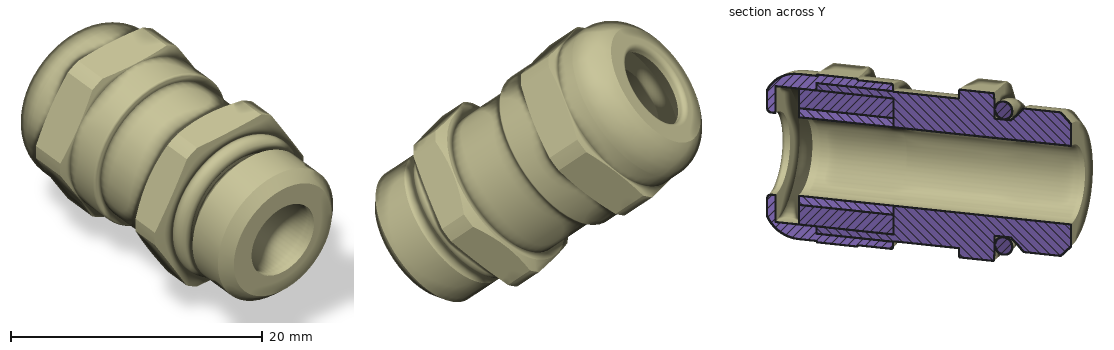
import cadquery as cq
import math


full_turn = 360.0

total_length = 25.8
nut_hex_start = 4.23
nut_hex_end = 7.7
nut_length = 10.7
body_hex_start = 16.28
body_hex_end = 19.32
thread_start = 21.77
thread_end = 24.9

hex_sides = 6
hex_flats = 14.0
hex_corner_radius = 15.5 / 2
hex_chamfer_radius = 13.8 / 2
steep_chamfer_angle = 30.0
shallow_chamfer_angle = 15.0
seat_chamfer_angle = 6.0

nut_radius = 13.8 / 2
nut_face_radius = 10.5 / 2
dome_radius = 3.0
lip_radius = 6.8 / 2
lip_fillet = 0.4
lip_end = 0.75
cavity_radius = 11.28 / 2
skirt_fillet = 0.17

barrel_radius = 12.5 / 2
body_start = nut_hex_start
socket_end = nut_length
thread_radius = 12.0 / 2
thread_end_chamfer = total_length - thread_end
body_seat_radius = 12.5 / 2

seal_start = 2.7
seal_outer_radius = 8.1 / 2
cable_radius = 6.5 / 2

oring_section_radius = 1.5 / 2
oring_centre_radius = 12.8 / 2 - oring_section_radius
oring_centre_x = body_hex_end + oring_section_radius

groove_radius = oring_centre_radius - oring_section_radius
groove_end = thread_start - (thread_radius - groove_radius)


def revolve_about_x(profile):
    """Revolve a closed profile of (x, radius) points a full turn about the X axis."""
    return profile.close().revolve(full_turn, (0, 0, 0), (1, 0, 0))


def tube(start, end, outer_radius, inner_radius):
    """Straight tube along X."""
    disc = cq.Workplane("YZ", origin=(start, 0, 0)).circle(outer_radius)
    return disc.circle(inner_radius).extrude(end - start)


def plug(start, end, radius):
    """Solid cylinder along X."""
    return cq.Workplane("YZ", origin=(start, 0, 0)).circle(radius).extrude(end - start)


def chamfered_hexagon(start, end, start_angle, end_angle, end_radius):
    """Hexagonal prism with flats facing +Z and -Z, turned to the corner diameter with conical ends."""
    corner_to_corner = hex_flats / math.cos(math.pi / hex_sides)
    prism = cq.Workplane("YZ", origin=(start, 0, 0)).polygon(hex_sides, corner_to_corner).extrude(end - start)
    start_chamfer = (hex_corner_radius - hex_chamfer_radius) * math.tan(math.radians(start_angle))
    end_chamfer = (hex_corner_radius - end_radius) * math.tan(math.radians(end_angle))
    turned = revolve_about_x(
        cq.Workplane("XY")
        .moveTo(start, 0)
        .lineTo(start, hex_chamfer_radius)
        .lineTo(start + start_chamfer, hex_corner_radius)
        .lineTo(end - end_chamfer, hex_corner_radius)
        .lineTo(end, end_radius)
        .lineTo(end, 0)
    )
    return prism.intersect(turned)


def make_nut():
    """Domed cap nut with a rounded cable mouth and a skirt that covers the end of the body."""
    dome_centre_radius = nut_radius - dome_radius
    dome_end = math.sqrt(dome_radius**2 - (nut_face_radius - dome_centre_radius) ** 2)
    half_angle = (math.pi / 2 + math.asin((nut_face_radius - dome_centre_radius) / dome_radius)) / 2
    dome_middle = (
        dome_end - dome_radius * math.cos(half_angle),
        dome_centre_radius + dome_radius * math.sin(half_angle),
    )
    arc_inset = 1 - math.sqrt(0.5)
    lip_fillet_middle = (
        lip_fillet * arc_inset,
        lip_radius + lip_fillet * arc_inset,
    )
    skirt_fillet_middle = (
        nut_length - skirt_fillet * arc_inset,
        nut_radius - skirt_fillet * arc_inset,
    )
    shell = (
        cq.Workplane("XY")
        .moveTo(0, lip_radius + lip_fillet)
        .lineTo(0, nut_face_radius)
        .threePointArc(dome_middle, (dome_end, nut_radius))
        .lineTo(nut_length - skirt_fillet, nut_radius)
        .threePointArc(skirt_fillet_middle, (nut_length, nut_radius - skirt_fillet))
        .lineTo(nut_length, barrel_radius)
        .lineTo(body_start, barrel_radius)
        .lineTo(body_start, cavity_radius)
        .lineTo(lip_end, cavity_radius)
        .lineTo(lip_end, lip_radius)
        .lineTo(lip_fillet, lip_radius)
        .threePointArc(lip_fillet_middle, (0, lip_radius + lip_fillet))
    )
    hexagon = chamfered_hexagon(
        nut_hex_start, nut_hex_end, shallow_chamfer_angle, shallow_chamfer_angle, hex_chamfer_radius
    )
    hexagon = hexagon.cut(plug(nut_hex_start, nut_hex_end, barrel_radius))
    return revolve_about_x(shell).union(hexagon)


def make_body():
    """Barrel with a hexagon, an O-ring groove and a threaded end, bored for the cable and the seal."""
    turned = revolve_about_x(
        cq.Workplane("XY")
        .moveTo(body_start, cavity_radius)
        .lineTo(body_start, barrel_radius)
        .lineTo(body_hex_end, barrel_radius)
        .lineTo(body_hex_end, groove_radius)
        .lineTo(groove_end, groove_radius)
        .lineTo(thread_start, thread_radius)
        .lineTo(thread_end, thread_radius)
        .lineTo(total_length, thread_radius - thread_end_chamfer)
        .lineTo(total_length, cable_radius)
        .lineTo(socket_end, cable_radius)
        .lineTo(socket_end, cavity_radius)
    )
    hexagon = chamfered_hexagon(
        body_hex_start, body_hex_end, steep_chamfer_angle, seat_chamfer_angle, body_seat_radius
    )
    hexagon = hexagon.cut(plug(body_hex_start, body_hex_end, cable_radius))
    return turned.union(hexagon)


def make_oring():
    """Round-section ring resting in the groove between the body hexagon and the thread."""
    section = cq.Workplane("XY").center(oring_centre_x, oring_centre_radius).circle(oring_section_radius)
    return section.revolve(full_turn, (0, -oring_centre_radius, 0), (1, -oring_centre_radius, 0))


nut = make_nut()
body = make_body()
oring = make_oring()
seal = tube(seal_start, socket_end, seal_outer_radius, cable_radius)
clamping_sleeve = tube(seal_start, socket_end, cavity_radius, seal_outer_radius)

result = cq.Compound.makeCompound(
    [nut.val(), body.val(), oring.val(), seal.val(), clamping_sleeve.val()]
)